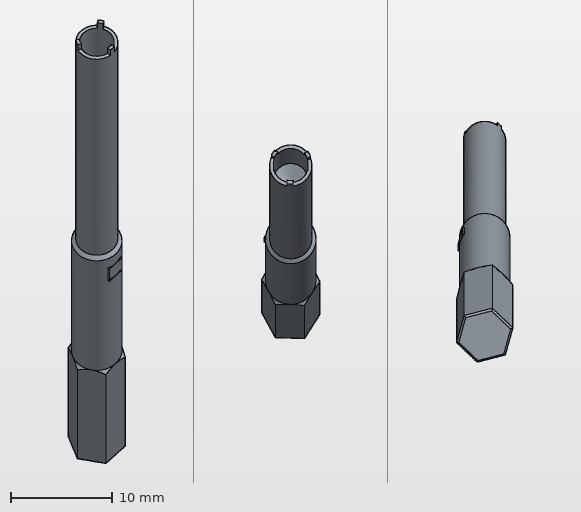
import cadquery as cq
import math

total_length = 67.5
hex_across_flats = 5.0

hex_sides = 6
hex_length = 15.4
hex_bottom_chamfer = 0.2
hex_top_chamfer_angle = 45.0

body_diameter = hex_across_flats
body_top = 34.0
tube_diameter = 4.2
body_top_chamfer = (body_diameter - tube_diameter) / 2

pad_width = 1.9
pad_height = 2.0
pad_center_height = 31.05

bore_diameter = 3.45
bore_depth = 6.75
drill_point_angle = 118.0

prong_count = 3
prong_height = 0.9
prong_width = 0.6

rim_height = total_length - prong_height
hex_across_corners = hex_across_flats / math.cos(math.pi / hex_sides)


def make_hex_shank():
    """Hexagon with corners on the Y axis, bevelled at the bottom, corners turned at the top."""
    hexagon = (
        cq.Workplane("XY")
        .polygon(hex_sides, hex_across_corners)
        .extrude(hex_length)
        .rotate((0, 0, 0), (0, 0, 1), 180 / hex_sides)
        .faces("<Z")
        .chamfer(hex_bottom_chamfer)
    )
    corner_radius = hex_across_corners / 2
    flat_radius = hex_across_flats / 2
    top_drop = (corner_radius - flat_radius) * math.tan(math.radians(hex_top_chamfer_angle))
    turned_envelope = (
        cq.Workplane("XZ")
        .moveTo(0, 0)
        .lineTo(corner_radius, 0)
        .lineTo(corner_radius, hex_length - top_drop)
        .lineTo(flat_radius, hex_length)
        .lineTo(0, hex_length)
        .close()
        .revolve(360, (0, 0, 0), (0, 1, 0))
    )
    return hexagon.intersect(turned_envelope)


def make_round_body():
    """Round body whose top tapers down to the tube."""
    return (
        cq.Workplane("XY", origin=(0, 0, hex_length))
        .circle(body_diameter / 2)
        .extrude(body_top - hex_length)
        .faces(">Z")
        .chamfer(body_top_chamfer)
    )


def make_tube_blank():
    """Solid tip cylinder up to the rim, with three prongs standing on it."""
    blank = (
        cq.Workplane("XY", origin=(0, 0, body_top))
        .circle(tube_diameter / 2)
        .extrude(total_length - body_top)
    )
    rim_cut = (
        cq.Workplane("XY", origin=(0, 0, rim_height))
        .circle(tube_diameter)
        .extrude(prong_height)
    )
    for index in range(prong_count):
        prong_zone = (
            cq.Workplane("XY", origin=(0, 0, rim_height))
            .center(tube_diameter / 2, 0)
            .rect(tube_diameter, prong_width)
            .extrude(prong_height)
            .rotate((0, 0, 0), (0, 0, 1), index * 360 / prong_count)
        )
        rim_cut = rim_cut.cut(prong_zone)
    return blank.cut(rim_cut)


def make_side_pad():
    """Rectangular pad reaching from the body axis out to the +X side."""
    return (
        cq.Workplane("YZ", origin=(0, 0, pad_center_height))
        .rect(pad_width, pad_height)
        .extrude(body_diameter / 2)
    )


def make_bore():
    """Round bore ending in a drill-point cone."""
    bore_radius = bore_diameter / 2
    bore_bottom = rim_height - bore_depth
    point_depth = bore_radius / math.tan(math.radians(drill_point_angle / 2))
    return (
        cq.Workplane("XZ")
        .moveTo(0, bore_bottom - point_depth)
        .lineTo(bore_radius, bore_bottom)
        .lineTo(bore_radius, total_length)
        .lineTo(0, total_length)
        .close()
        .revolve(360, (0, 0, 0), (0, 1, 0))
    )


result = make_hex_shank().union(make_round_body()).union(make_tube_blank())
result = result.union(make_side_pad()).cut(make_bore())